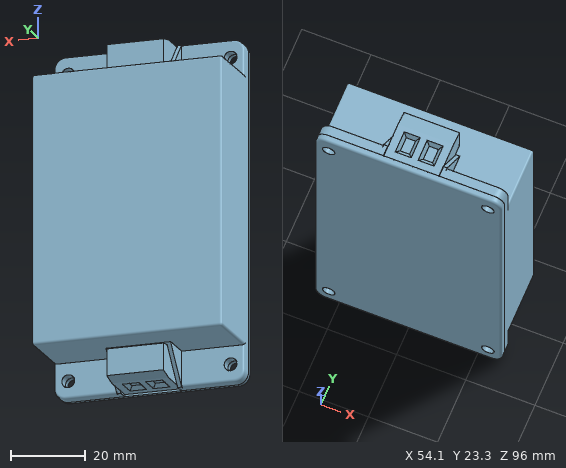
import cadquery as cq

width = 54.1
depth = 23.3
height = 96.0

plate_thickness = 2.0
flange_back = 5.1
corner_radius = 3.2
edge_radius = 0.8
hole_diameter = 3.6
hole_side_inset = 4.0
hole_end_inset = 5.0

box_end_inset = 10.1

terminal_width = 16.0
terminal_back = 16.7
terminal_taper_start = 12.4
terminal_end_inset = 0.6
terminal_tip_inset = 1.5
terminal_tip_root = 9.0
terminal_base_back = 9.6

rib_width = 18.3
rib_back = 14.1

window_pitch = 6.6
window_width = 4.6
window_front = 4.5
window_back = 10.9
window_depth = 1.1
window_side_taper = 1.0
window_front_taper = 1.25
window_back_taper = 1.0

half_height = height / 2
box_end = half_height - box_end_inset
terminal_end = half_height - terminal_end_inset


def slab(y_start, y_end):
    """Rounded rectangle of the full outline, extruded along Y."""
    return (
        cq.Workplane("XZ", origin=(0, y_start, 0))
        .rect(width, height)
        .extrude(y_start - y_end)
        .edges("|Y")
        .fillet(corner_radius)
    )


def corner_holes(body):
    """Cut the four screw holes through the overhanging corners."""
    drills = (
        cq.Workplane("XZ")
        .rect(width - 2 * hole_side_inset, height - 2 * hole_end_inset, forConstruction=True)
        .vertices()
        .circle(hole_diameter / 2)
        .extrude(-depth)
    )
    return body.cut(drills)


def side_profile(points, profile_width):
    """Extrude a (y, z) outline symmetrically about x = 0."""
    return cq.Workplane("YZ").polyline(points).close().extrude(profile_width / 2, both=True)


def terminal_rib():
    """Triangular support from the flange edge down to the end face of the box."""
    return side_profile(
        [
            (plate_thickness, box_end),
            (plate_thickness, half_height),
            (flange_back, half_height),
            (rib_back, box_end),
        ],
        rib_width,
    )


def edge_notch():
    """Gap over the terminal block that lowers the flange edge to the outer face of the block."""
    return cq.Workplane("XY").box(
        terminal_width, rib_back, terminal_end_inset, centered=(True, False, False)
    ).translate((0, plate_thickness, terminal_end))


def wire_window(center_x):
    """Tapered pocket with a flat floor, cut into the outer terminal face."""
    return (
        cq.Workplane("XY", origin=(center_x, 0, terminal_end))
        .center(0, (window_front + window_back) / 2)
        .rect(window_width, window_back - window_front)
        .workplane(offset=-window_depth)
        .center(0, (window_front_taper - window_back_taper) / 2)
        .rect(
            window_width - 2 * window_side_taper,
            window_back - window_front - window_front_taper - window_back_taper,
        )
        .loft(ruled=True)
    )


def terminal_block():
    """Block with a tapered rear end."""
    return side_profile(
        [
            (plate_thickness, box_end),
            (plate_thickness, terminal_end),
            (terminal_taper_start, terminal_end),
            (terminal_back, half_height - terminal_tip_inset),
            (terminal_back, half_height - terminal_tip_root),
            (terminal_base_back, box_end),
        ],
        terminal_width,
    )


def case_box():
    """Box behind the flange, with its side and back edges rounded."""
    return (
        cq.Workplane("XY")
        .box(width, depth - plate_thickness, 2 * box_end, centered=(True, False, True))
        .translate((0, plate_thickness, 0))
        .edges("|Y or >Y")
        .fillet(edge_radius)
    )


def make_plate():
    """Front plate with a rounded front edge."""
    plate = slab(0, plate_thickness).faces("<Y").edges().fillet(edge_radius)
    return corner_holes(plate)


def make_housing():
    """Flanged case with a terminal block on a sloped rib at each end."""
    flange = slab(plate_thickness, flange_back).faces(">Y").edges().fillet(edge_radius)
    housing = corner_holes(flange).union(case_box())
    for added in (terminal_rib(), terminal_block()):
        housing = housing.union(added).union(added.mirror("XY"))
    recesses = [edge_notch()] + [wire_window(side * window_pitch / 2) for side in (-1, 1)]
    for recess in recesses:
        housing = housing.cut(recess).cut(recess.mirror("XY"))
    return housing


plate = make_plate()
housing = make_housing()

result = cq.Compound.makeCompound([plate.val(), housing.val()])